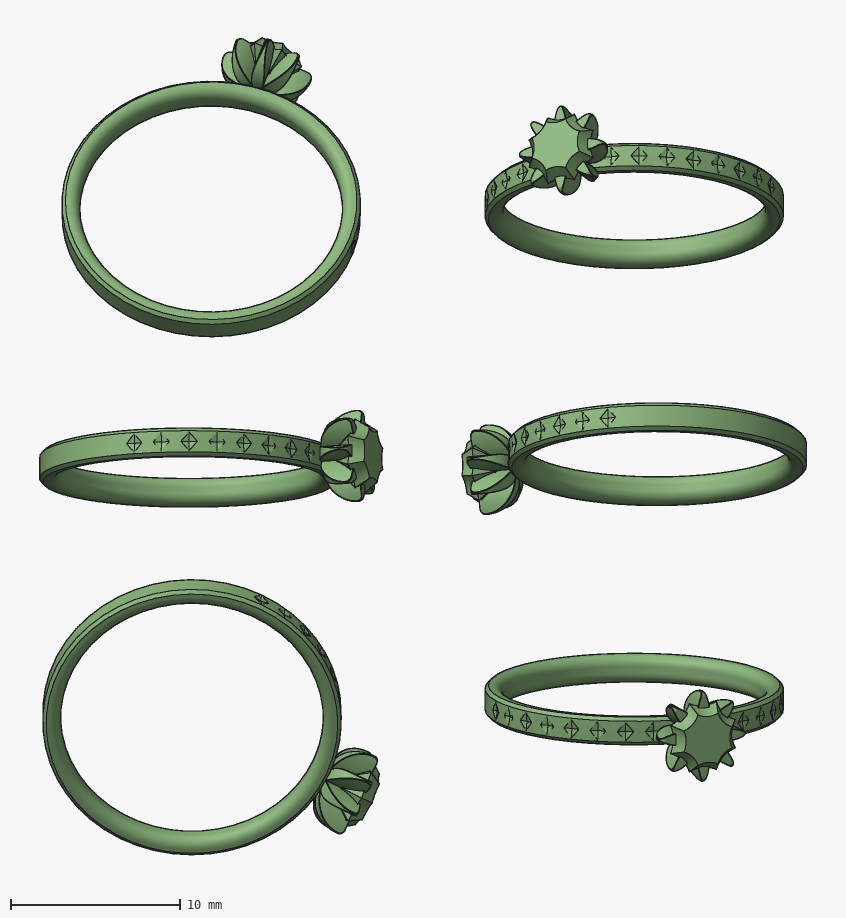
import cadquery as cq
import math

OVERALL_LENGTH = 20.5
BAND_OUTER_R = 17.62 / 2
BAND_INNER_R = 7.75
BAND_WIDTH = 1.68
BAND_CHAMFER = 0.2
BAND_INNER_ROUNDING = 0.62

POCKETS_PER_SIDE = 8
POCKET_SPACING = 10.8
POCKET_DIAGONAL = 1.09
POCKET_DEPTH = 0.1

PETAL_COUNT = 8
PETAL_REACH = 2.73
LENS_START = -0.1
LENS_END = 2.85
PETAL_WIDTH = 0.78
PETAL_CHAMFER = 0.03
FLOWER_SINK = 0.051
FLOWER_HEIGHT = 2.3
PETAL_BELLY_R = 1.95
PETAL_TIP_R = 0.33

STONE_SIDES = 8
TABLE_R = 1.66
GIRDLE_R = 2.24
CROWN_HEIGHT = 0.82
FACET_HOLLOW = 0.09

FLOWER_BASE_Y = BAND_OUTER_R - FLOWER_SINK
STONE_TOP_Y = OVERALL_LENGTH - BAND_OUTER_R
GIRDLE_Y = STONE_TOP_Y - CROWN_HEIGHT


def taper(start, end):
    """Solid with straight sides from one outline to another outline or to a point."""
    return cq.occ_impl.shapes.loft(start, end, cap=True, ruled=True)


def make_band():
    """Flat band with chamfered outer rims and rounded inner rims."""
    band = (
        cq.Workplane("XY", origin=(0, 0, -BAND_WIDTH / 2))
        .circle(BAND_OUTER_R)
        .extrude(BAND_WIDTH)
        .faces("<Z or >Z")
        .chamfer(BAND_CHAMFER)
    )
    bore = cq.Workplane("XY").circle(BAND_INNER_R).extrude(BAND_WIDTH, both=True)
    inner_rims = cq.selectors.RadiusNthSelector(0)
    return band.cut(bore).edges("%CIRCLE").edges(inner_rims).fillet(BAND_INNER_ROUNDING)


def make_pocket_cutter():
    """Pyramid pointing to the band axis, its base tangent to the band at -X."""
    half = POCKET_DIAGONAL / 2
    base = cq.Wire.makePolygon(
        [
            cq.Vector(-BAND_OUTER_R, half, 0),
            cq.Vector(-BAND_OUTER_R, 0, half),
            cq.Vector(-BAND_OUTER_R, -half, 0),
            cq.Vector(-BAND_OUTER_R, 0, -half),
        ],
        close=True,
    )
    tip = cq.Vertex.makeVertex(-BAND_OUTER_R + POCKET_DEPTH, 0, 0)
    return cq.Workplane(taper(base, tip))


def cut_pockets(band):
    """Rows of pockets from both ends of the X axis up towards the flower."""
    left_cutter = make_pocket_cutter()
    right_cutter = left_cutter.mirror("YZ")
    for i in range(POCKETS_PER_SIDE):
        angle = i * POCKET_SPACING
        band = band.cut(left_cutter.rotate((0, 0, 0), (0, 0, 1), -angle))
        band = band.cut(right_cutter.rotate((0, 0, 0), (0, 0, 1), angle))
    return band


def make_petal():
    """Petal towards +X: a rounded side outline, trimmed by a lens along Y, with chamfered edges."""
    lens_middle = (LENS_START + LENS_END) / 2
    top_y = FLOWER_BASE_Y + FLOWER_HEIGHT
    diagonal = math.sqrt(0.5)
    belly_x = PETAL_REACH - PETAL_BELLY_R
    belly_y = FLOWER_BASE_Y + PETAL_BELLY_R
    tip_x = PETAL_REACH - PETAL_TIP_R
    tip_y = top_y - PETAL_TIP_R
    side = (
        cq.Workplane("XY")
        .moveTo(0, FLOWER_BASE_Y)
        .lineTo(belly_x, FLOWER_BASE_Y)
        .threePointArc(
            (belly_x + diagonal * PETAL_BELLY_R, belly_y - diagonal * PETAL_BELLY_R),
            (PETAL_REACH, belly_y),
        )
        .lineTo(PETAL_REACH, tip_y)
        .threePointArc(
            (tip_x + diagonal * PETAL_TIP_R, tip_y + diagonal * PETAL_TIP_R),
            (tip_x, top_y),
        )
        .lineTo(0, top_y)
        .close()
        .extrude(PETAL_WIDTH, both=True)
    )
    plan = (
        cq.Workplane("XZ", origin=(0, FLOWER_BASE_Y, 0))
        .moveTo(LENS_START, 0)
        .threePointArc((lens_middle, PETAL_WIDTH / 2), (LENS_END, 0))
        .threePointArc((lens_middle, -PETAL_WIDTH / 2), (LENS_START, 0))
        .close()
        .extrude(-FLOWER_HEIGHT)
    )
    petal = side.intersect(plan)
    broad_walls = petal.faces("<Z or >Z")
    inner_edges = cq.selectors.DirectionMinMaxSelector(cq.Vector(1, 0, 0), False)
    rim = broad_walls.edges(cq.selectors.InverseSelector(inner_edges))
    return rim.chamfer(PETAL_CHAMFER)


def stone_outline(y, corner_r):
    """Closed eight-sided outline at the level y, each side bowed inward as an arc."""
    half_step = math.pi / STONE_SIDES
    middle_r = corner_r * (math.cos(half_step) - FACET_HOLLOW)

    def point(radius, angle):
        return cq.Vector(radius * math.cos(angle), y, radius * math.sin(angle))

    sides = []
    for i in range(STONE_SIDES):
        middle = 2 * half_step * i
        sides.append(
            cq.Edge.makeThreePointArc(
                point(corner_r, middle - half_step),
                point(middle_r, middle),
                point(corner_r, middle + half_step),
            )
        )
    return cq.Wire.assembleEdges(sides)


def make_stone():
    """Crown from the girdle to the table, and a pavilion tapering to a point at the outside of the band."""
    girdle = stone_outline(GIRDLE_Y, GIRDLE_R)
    table = stone_outline(STONE_TOP_Y, TABLE_R)
    point = cq.Vertex.makeVertex(0, BAND_OUTER_R, 0)
    crown = cq.Workplane(taper(girdle, table))
    pavilion = cq.Workplane(taper(girdle, point))
    return crown.union(pavilion)


def make_ring(stone):
    """Band and petals as one piece, with a seat cut for the stone."""
    ring = cut_pockets(make_band())
    petal = make_petal()
    for i in range(PETAL_COUNT):
        ring = ring.union(petal.rotate((0, 0, 0), (0, 1, 0), i * 360 / PETAL_COUNT))
    return ring.cut(stone)


stone = make_stone()
ring = make_ring(stone)

result = cq.Compound.makeCompound([ring.solids().val(), stone.solids().val()])